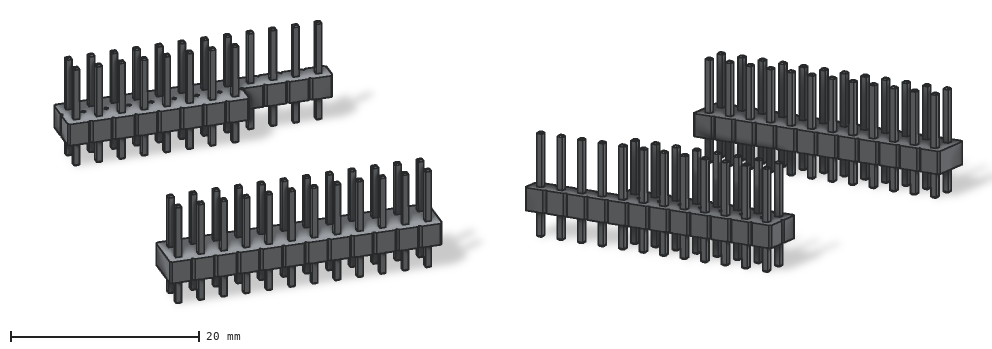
import cadquery as cq

overall_length = 40.1
block_length = 30.5
long_row_count = 12
short_row_count = 8
block_height = 2.53
notch_chamfer = 0.25
pin_width = 0.65
pin_above = 6.0
pin_below = 3.0
pin_tip_chamfer = 0.15
double_header_shift = -0.05

pitch = block_length / long_row_count
pin_length = pin_below + block_height + pin_above
double_header_x = overall_length - 2 * pitch


def make_pin(x, y):
    """Square pin centred on (x, y), bevelled at both ends."""
    return (
        cq.Workplane("XY", origin=(x, y, -pin_below))
        .rect(pin_width, pin_width)
        .extrude(pin_length)
        .faces("<Z or >Z")
        .chamfer(pin_tip_chamfer)
    )


def make_cell(x, y, width):
    """One pitch of block with its four upright corners cut, lower left corner at (x, y)."""
    return (
        cq.Workplane("XY", origin=(x, y, 0))
        .rect(width, pitch, centered=False)
        .extrude(block_height)
        .edges("|Z")
        .chamfer(notch_chamfer)
    )


def make_header(x, y, row_count, pins_per_row):
    """Block with its pins fused in, lower left corner at (x, y); each cell spans all rows."""
    header = cq.Workplane("XY")
    for index in range(pins_per_row):
        cell_y = y + index * pitch
        header = header.union(make_cell(x, cell_y, row_count * pitch))
        for row in range(row_count):
            header = header.union(make_pin(x + (row + 0.5) * pitch, cell_y + pitch / 2))
    return header


def make_stepped_header():
    """Long and short single-row headers joined along their touching sides."""
    long_row = make_header(0, 0, 1, long_row_count)
    short_row = make_header(pitch, 0, 1, short_row_count)
    return long_row.union(short_row, clean=False)


def make_double_header():
    """Two full-length rows of pins in one wide block."""
    return make_header(double_header_x, double_header_shift, 2, long_row_count)


stepped_header = make_stepped_header().solids()
double_header = make_double_header().solids()

result = cq.Compound.makeCompound([stepped_header.val(), double_header.val()])